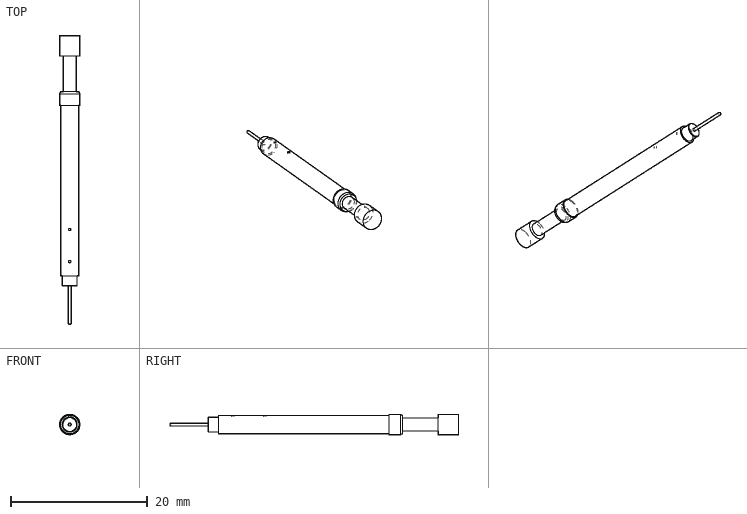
import cadquery as cq

TOTAL_LENGTH = 42.3
HEAD_END = 3.0
STEM_END = 8.2
COLLAR_END = 10.2
BODY_END = 35.2
TAIL_END = 36.7

HEAD_DIAMETER = 3.0
STEM_DIAMETER = 1.96
COLLAR_DIAMETER = 3.0
BODY_DIAMETER = 2.7
TAIL_DIAMETER = 2.2
PIN_DIAMETER = 0.45

COLLAR_CHAMFER_LENGTH = 0.35
COLLAR_CHAMFER_DEPTH = 0.15
TAIL_CHAMFER = 0.07
PIN_TIP_RADIUS = 0.15

DIMPLE_DIAMETER = 0.35
DIMPLE_DEPTH = 0.15
DIMPLE_DISTANCES = (28.4, 33.1)


def y_at(distance):
    """Y of a point at this distance from the head end; Y = 0 is the collar seat."""
    return COLLAR_END - distance


def section(start, end, diameter):
    """Cylinder on the Y axis between two distances from the head end."""
    return (
        cq.Workplane("XZ", origin=(0, y_at(start), 0))
        .circle(diameter / 2)
        .extrude(end - start)
    )


def make_head():
    return section(0, HEAD_END, HEAD_DIAMETER)


def make_stem():
    return section(HEAD_END, STEM_END, STEM_DIAMETER)


def make_collar():
    """Stop collar, with a shallow lead-in chamfer on the plunger side."""
    outer_radius = COLLAR_DIAMETER / 2
    return (
        cq.Workplane("XY")
        .moveTo(0, y_at(STEM_END))
        .lineTo(outer_radius - COLLAR_CHAMFER_DEPTH, y_at(STEM_END))
        .lineTo(outer_radius, y_at(STEM_END + COLLAR_CHAMFER_LENGTH))
        .lineTo(outer_radius, y_at(COLLAR_END))
        .lineTo(0, y_at(COLLAR_END))
        .close()
        .revolve(360, (0, 0, 0), (0, 1, 0))
    )


def make_body():
    """Long barrel with blind dimples on its upper side."""
    barrel = section(COLLAR_END, BODY_END, BODY_DIAMETER)
    dimple_floor = BODY_DIAMETER / 2 - DIMPLE_DEPTH
    for distance in DIMPLE_DISTANCES:
        dimple = (
            cq.Workplane("XY", origin=(0, y_at(distance), dimple_floor))
            .circle(DIMPLE_DIAMETER / 2)
            .extrude(BODY_DIAMETER / 2)
        )
        barrel = barrel.cut(dimple)
    return barrel


def make_tail():
    return section(BODY_END, TAIL_END, TAIL_DIAMETER).faces("<Y").edges().chamfer(TAIL_CHAMFER)


def make_pin():
    return section(TAIL_END, TOTAL_LENGTH, PIN_DIAMETER).faces("<Y").edges().fillet(PIN_TIP_RADIUS)


result = (
    make_head()
    .union(make_stem())
    .union(make_collar())
    .union(make_body())
    .union(make_tail())
    .union(make_pin())
)